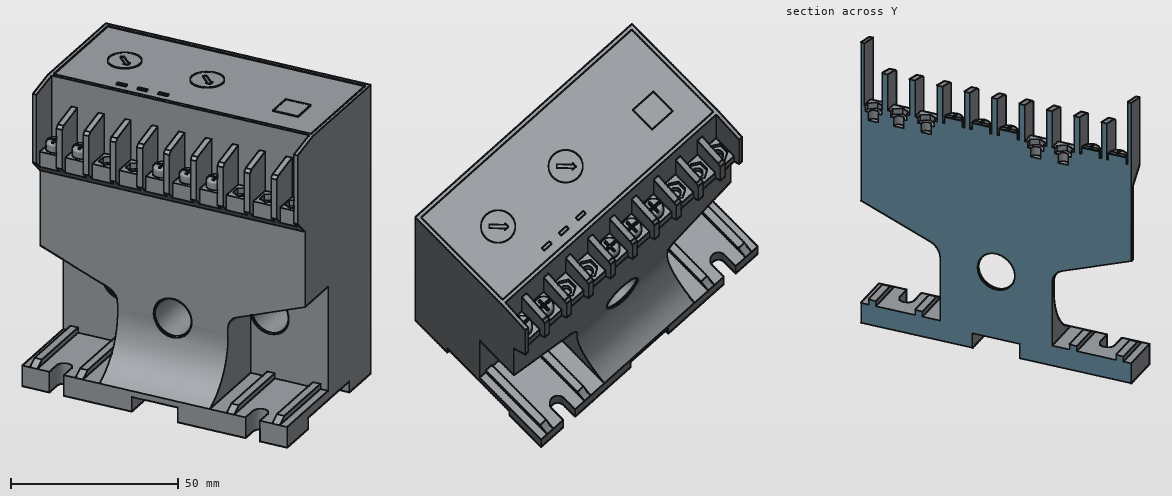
import cadquery as cq
import math


WIDTH = 89.0
HEIGHT = 97.0
BODY_DEPTH = 43.2
HEAD_DEPTH = 48.1
HEAD_BOTTOM = 72.1
WALL = 1.3
TOP_SLOPE_START = 38.1
TOP_SLOPE_DROP = 1.9

BASE_DEPTH = 55.0
BASE_HEIGHT = 7.0
RAIL_BACK = 14.1
RAIL_FRONT = 41.0
RAIL_HEIGHT = 3.8
SLOT_X = 33.0
SLOT_WIDTH = 4.85
SLOT_END_DEPTH = 47.6
RIB_INNER_X = 25.4
RIB_OUTER_X = 40.7
RIB_WIDTH = 2.5
RIB_HEIGHT = 1.7

CLIP_GAP_WIDTH = 15.4
CLIP_HEIGHT = 4.9
CLIP_RECESS_WIDTH = 11.3
CLIP_RECESS_DEPTH = 1.9
LATCH_WIDTH = 7.1
LATCH_HEIGHT = 3.3
LATCH_DEPTH = 1.9

SADDLE_WIDTH = 37.1
SADDLE_TOP = 27.1
SADDLE_RADIUS = 20.0
POCKET_BACK = 28.1
POCKET_EDGE_HEIGHT = 41.9
POCKET_ROOF_ANGLE = 21.0
POCKET_CORNER_RADIUS = 5.0
HOLE_SPACING = 24.9
HOLE_HEIGHT = 27.9
HOLE_DIAMETER = 12.1
HOLE_CHAMFER = 0.4

BAY_COUNT = 10
BAY_PITCH = 9.0
FIRST_DIVIDER_X = -35.6
DIVIDER_WIDTH = 1.9
DIVIDER_BACK_HEIGHT = 88.2
DIVIDER_FRONT_HEIGHT = 86.2
DIVIDER_CHAMFER = 1.0
BLOCK_TOP = 75.0
BLOCK_DEPTH = 46.0
TERMINAL_DEPTH = 41.9
SCREW_BAYS = (0, 1, 4, 5, 6)
SCREW_DIAMETER = 6.0
SCREW_HEIGHT = 2.9
SCREW_ROUNDING = 1.1
CROSS_WIDTH = 0.6
CROSS_LENGTH = 4.1
CROSS_CUT_DEPTH = 0.8
NUT_CORNER_DIAMETER = 6.0
NUT_RECESS = 1.9
THREAD_DIAMETER = 3.2
THREAD_DEPTH = 4.85

PANEL_RECESS = 0.3
RELIEF = 0.3
DIAL_DIAMETER = 10.3
DIAL_DEPTH = 19.1
DIAL_XS = (-28.4, -0.7)
ARROW_TAIL = -2.6
ARROW_TIP = 3.1
ARROW_HEAD_LENGTH = 1.1
ARROW_SHAFT_WIDTH = 1.2
LAMP_X = -22.0
LAMP_PITCH = 7.0
LAMP_COUNT = 3
LAMP_LENGTH = 3.1
LAMP_WIDTH = 1.1
LAMP_DEPTH = 33.6
LABEL_SIZE = 8.4
LABEL_X = 30.4
LABEL_DEPTH = 24.2

INNER_WIDTH = WIDTH - 2 * WALL
BODY_TOP = HEAD_BOTTOM - (HEAD_DEPTH - BODY_DEPTH)
PANEL_HEIGHT = HEIGHT - PANEL_RECESS


def box(x_min, x_max, back, front, bottom, top):
    """Box between two X values, two depths and two heights."""
    block = cq.Workplane().box(x_max - x_min, front - back, top - bottom, centered=False)
    return block.translate((x_min, -front, bottom))


def centered_box(x, width, back, front, bottom, top):
    """Box of the given width centred on x."""
    return box(x - width / 2, x + width / 2, back, front, bottom, top)


def side_profile(x, width, points):
    """Extrude a closed (depth, height) outline along X, centred on x."""
    outline = [(-depth, height) for depth, height in points]
    return cq.Workplane("YZ", origin=(x - width / 2, 0, 0)).polyline(outline).close().extrude(width)


def housing():
    return side_profile(0, WIDTH, [
        (0, 0),
        (BODY_DEPTH, 0),
        (BODY_DEPTH, BODY_TOP),
        (HEAD_DEPTH, HEAD_BOTTOM),
        (HEAD_DEPTH, HEIGHT - TOP_SLOPE_DROP),
        (TOP_SLOPE_START, HEIGHT),
        (0, HEIGHT),
    ])


def side_pocket():
    """Left cable window: sloped roof running into the saddle side with a rounded corner."""
    slope = math.tan(math.radians(POCKET_ROOF_ANGLE))
    edge_x = -WIDTH / 2
    saddle_x = -SADDLE_WIDTH / 2
    roof_end = POCKET_EDGE_HEIGHT - slope * (saddle_x - edge_x)
    pocket = (
        cq.Workplane("XZ", origin=(0, -POCKET_BACK, 0))
        .moveTo(edge_x, BASE_HEIGHT)
        .lineTo(saddle_x, BASE_HEIGHT)
        .lineTo(saddle_x, roof_end)
        .lineTo(edge_x, POCKET_EDGE_HEIGHT)
        .close()
        .extrude(BASE_DEPTH - POCKET_BACK)
    )
    corner = cq.selectors.NearestToPointSelector((saddle_x, -BODY_DEPTH, roof_end))
    return pocket.edges("|Y").edges(corner).fillet(POCKET_CORNER_RADIUS)


def saddle_block():
    """Block between the pockets, reaching from the body to the front edge of the base."""
    return centered_box(0, SADDLE_WIDTH, POCKET_BACK, BASE_DEPTH, 0, SADDLE_TOP)


def front_cylinder():
    """Cylinder along X that hollows the saddle front and rounds off the front ends of the ribs."""
    run = BASE_DEPTH - BODY_DEPTH
    drop = SADDLE_TOP - BASE_HEIGHT
    chord = math.hypot(run, drop)
    offset = math.sqrt(SADDLE_RADIUS**2 - (chord / 2) ** 2)
    axis_depth = (BODY_DEPTH + BASE_DEPTH) / 2 + offset * drop / chord
    axis_height = (SADDLE_TOP + BASE_HEIGHT) / 2 + offset * run / chord
    plane = cq.Workplane("YZ", origin=(-WIDTH / 2, -axis_depth, axis_height))
    return plane.circle(SADDLE_RADIUS).extrude(WIDTH)


def cable_hole(x, mouth_depth, end_depth):
    """Hole along Y from the back, chamfered at its mouth and wider from there to its end."""
    radius = HOLE_DIAMETER / 2
    wide = radius + HOLE_CHAMFER
    profile = [
        (0, 0),
        (radius, 0),
        (radius, mouth_depth - HOLE_CHAMFER),
        (wide, mouth_depth),
        (wide, end_depth),
        (0, end_depth),
    ]
    bore = cq.Workplane("XY").polyline(profile).close().revolve(360, (0, 0), (0, 1))
    return bore.mirror("XZ").translate((x, 0, HOLE_HEIGHT))


def foot_rib(x):
    """Straight rib on the base plate, left square here and shaped later by the cylinder."""
    top = BASE_HEIGHT + RIB_HEIGHT
    return centered_box(x, RIB_WIDTH, POCKET_BACK, BASE_DEPTH, BASE_HEIGHT, top)


def mounting_slot(x):
    center = SLOT_END_DEPTH + SLOT_WIDTH / 2
    end = cq.Workplane().circle(SLOT_WIDTH / 2).extrude(BASE_HEIGHT).translate((x, -center, 0))
    return end.union(centered_box(x, SLOT_WIDTH, center, BASE_DEPTH, 0, BASE_HEIGHT))


def rail_openings():
    """Rail channel along X, the clip gap in the front foot and the recesses in the back foot."""
    recess_back = RAIL_BACK - CLIP_RECESS_DEPTH
    channel = box(-WIDTH / 2, WIDTH / 2, RAIL_BACK, RAIL_FRONT, 0, RAIL_HEIGHT)
    gap = centered_box(0, CLIP_GAP_WIDTH, RAIL_FRONT, BASE_DEPTH, 0, CLIP_HEIGHT)
    recess = centered_box(0, CLIP_RECESS_WIDTH, recess_back, RAIL_FRONT, 0, CLIP_HEIGHT)
    latch = centered_box(0, LATCH_WIDTH, recess_back - LATCH_DEPTH, recess_back, 0, LATCH_HEIGHT)
    return channel.union(gap).union(recess).union(latch)


def divider(x):
    return side_profile(x, DIVIDER_WIDTH, [
        (TOP_SLOPE_START, BODY_TOP),
        (BODY_DEPTH, BODY_TOP),
        (HEAD_DEPTH, HEAD_BOTTOM),
        (HEAD_DEPTH, DIVIDER_FRONT_HEIGHT - DIVIDER_CHAMFER),
        (HEAD_DEPTH - DIVIDER_CHAMFER, DIVIDER_FRONT_HEIGHT),
        (TOP_SLOPE_START, DIVIDER_BACK_HEIGHT),
    ])


def terminal_strip_space():
    """Open space above the terminal blocks and in front of them, between the end walls."""
    above = centered_box(0, INNER_WIDTH, TOP_SLOPE_START, HEAD_DEPTH, BLOCK_TOP, HEIGHT)
    ahead = centered_box(0, INNER_WIDTH, BLOCK_DEPTH, HEAD_DEPTH, BODY_TOP, BLOCK_TOP)
    return above.union(ahead)


def screw(x):
    head = cq.Workplane().circle(SCREW_DIAMETER / 2).extrude(SCREW_HEIGHT)
    head = head.faces(">Z").edges().fillet(SCREW_ROUNDING)
    cross_floor = cq.Workplane(origin=(0, 0, SCREW_HEIGHT - CROSS_CUT_DEPTH))
    long_slot = cross_floor.rect(SCREW_DIAMETER, CROSS_WIDTH).extrude(CROSS_CUT_DEPTH)
    short_slot = cross_floor.rect(CROSS_WIDTH, CROSS_LENGTH).extrude(CROSS_CUT_DEPTH)
    cross = long_slot.union(short_slot)
    return head.cut(cross).translate((x, -TERMINAL_DEPTH, BLOCK_TOP))


def nut_recess(x):
    """Hexagonal recess with corners toward the front and back, and a round hole below it."""
    hexagon = cq.Workplane().polygon(6, NUT_CORNER_DIAMETER).extrude(-NUT_RECESS)
    thread = cq.Workplane().circle(THREAD_DIAMETER / 2).extrude(-THREAD_DEPTH)
    recess = hexagon.rotate((0, 0, 0), (0, 0, 1), 90).union(thread)
    return recess.translate((x, -TERMINAL_DEPTH, BLOCK_TOP))


def dial(x):
    """Raised disc with an arrow engraved at 45 degrees."""
    head_base = ARROW_TIP - ARROW_HEAD_LENGTH
    half_shaft = ARROW_SHAFT_WIDTH / 2
    arrow = (
        cq.Workplane()
        .polyline([
            (ARROW_TAIL, -half_shaft),
            (head_base, -half_shaft),
            (head_base, -ARROW_HEAD_LENGTH),
            (ARROW_TIP, 0),
            (head_base, ARROW_HEAD_LENGTH),
            (head_base, half_shaft),
            (ARROW_TAIL, half_shaft),
        ])
        .close()
        .extrude(RELIEF)
        .rotate((0, 0, 0), (0, 0, 1), -45)
    )
    disc = cq.Workplane().circle(DIAL_DIAMETER / 2).extrude(RELIEF)
    return disc.cut(arrow).translate((x, -DIAL_DEPTH, PANEL_HEIGHT))


def panel_pad(x, depth, length, width):
    """Thin raised rectangle on the top panel."""
    return cq.Workplane(origin=(x, -depth, PANEL_HEIGHT)).rect(length, width).extrude(RELIEF)


left_pocket = side_pocket()
result = (
    housing()
    .cut(left_pocket)
    .cut(left_pocket.mirror("YZ"))
    .union(box(-WIDTH / 2, WIDTH / 2, 0, BASE_DEPTH, 0, BASE_HEIGHT))
    .union(saddle_block())
)
for rib_x in (RIB_INNER_X, RIB_OUTER_X):
    result = result.union(foot_rib(-rib_x)).union(foot_rib(rib_x))
result = (
    result.cut(front_cylinder())
    .cut(cable_hole(0, BODY_DEPTH, BASE_DEPTH))
    .cut(rail_openings())
)
for side in (-1, 1):
    result = result.cut(cable_hole(side * HOLE_SPACING, POCKET_BACK, POCKET_BACK + HOLE_CHAMFER))
    result = result.cut(mounting_slot(side * SLOT_X))

divider_xs = [FIRST_DIVIDER_X + i * BAY_PITCH for i in range(BAY_COUNT - 1)]
bay_lefts = [-INNER_WIDTH / 2] + [x + DIVIDER_WIDTH / 2 for x in divider_xs]
bay_rights = [x - DIVIDER_WIDTH / 2 for x in divider_xs] + [INNER_WIDTH / 2]
result = result.cut(terminal_strip_space())
for divider_x in divider_xs:
    result = result.union(divider(divider_x))
for bay, (left, right) in enumerate(zip(bay_lefts, bay_rights)):
    middle = (left + right) / 2
    if bay in SCREW_BAYS:
        result = result.union(screw(middle))
    else:
        result = result.cut(nut_recess(middle))

result = result.cut(
    centered_box(0, INNER_WIDTH, WALL, TOP_SLOPE_START - WALL, PANEL_HEIGHT, HEIGHT)
)
for dial_x in DIAL_XS:
    result = result.union(dial(dial_x))
for i in range(LAMP_COUNT):
    result = result.union(panel_pad(LAMP_X + i * LAMP_PITCH, LAMP_DEPTH, LAMP_LENGTH, LAMP_WIDTH))
result = result.union(panel_pad(LABEL_X, LABEL_DEPTH, LABEL_SIZE, LABEL_SIZE))